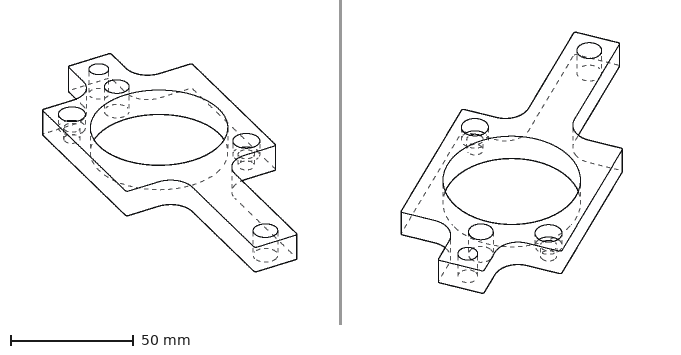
import cadquery as cq

length = 155.0
thickness = 12.0
body_side = 70.0
arm_width = 20.0
short_arm_length = 23.0

inner_corner_radius = 10.0
outer_corner_radius = 1.0

bore_diameter = 56.0
large_hole_diameter = 10.0
small_hole_diameter = 8.0
short_end_to_small_hole = 8.0
long_end_to_large_hole = 9.0
screw_offset = 26.0
screw_diameter = 6.7
counterbore_diameter = 11.0
counterbore_depth = 6.5

body_left = -body_side / 2
left_end = body_left - short_arm_length
right_end = left_end + length


def make_plate():
    """Square body with one arm on each side, rounded at the vertical edges."""
    body = cq.Workplane("XY").rect(body_side, body_side).extrude(thickness)
    arms = (
        cq.Workplane("XY")
        .center((left_end + right_end) / 2, 0)
        .rect(length, arm_width)
        .extrude(thickness)
    )
    half_body = body_side / 2
    half_arm = arm_width / 2
    inner_corners = [(x, y) for x in (-half_body, half_body) for y in (-half_arm, half_arm)]
    outer_corners = [(x, y) for x in (-half_body, half_body) for y in (-half_body, half_body)]
    outer_corners += [(x, y) for x in (left_end, right_end) for y in (-half_arm, half_arm)]
    plate = round_edges(body.union(arms), inner_corners, inner_corner_radius)
    return round_edges(plate, outer_corners, outer_corner_radius)


def round_edges(solid, corners, radius):
    """Fillet the vertical edge nearest to each corner point."""
    for x, y in corners:
        edge = cq.selectors.NearestToPointSelector((x, y, thickness / 2))
        solid = solid.edges("|Z").edges(edge).fillet(radius)
    return solid


def cut_through_hole(solid, x, diameter):
    """Cut a round hole through the plate on its long centre line."""
    cutter = cq.Workplane("XY").center(x, 0).circle(diameter / 2).extrude(thickness)
    return solid.cut(cutter)


def cut_screw_holes(solid):
    """Cut two diagonally opposite screw holes, counterbored from the top."""
    return (
        solid.faces(">Z")
        .workplane(origin=(0, 0, thickness))
        .pushPoints([(screw_offset, screw_offset), (-screw_offset, -screw_offset)])
        .cboreHole(screw_diameter, counterbore_diameter, counterbore_depth)
    )


result = make_plate()
result = cut_through_hole(result, 0, bore_diameter)
result = cut_through_hole(result, left_end + short_end_to_small_hole, small_hole_diameter)
result = cut_through_hole(result, body_left, large_hole_diameter)
result = cut_through_hole(result, right_end - long_end_to_large_hole, large_hole_diameter)
result = cut_screw_holes(result)